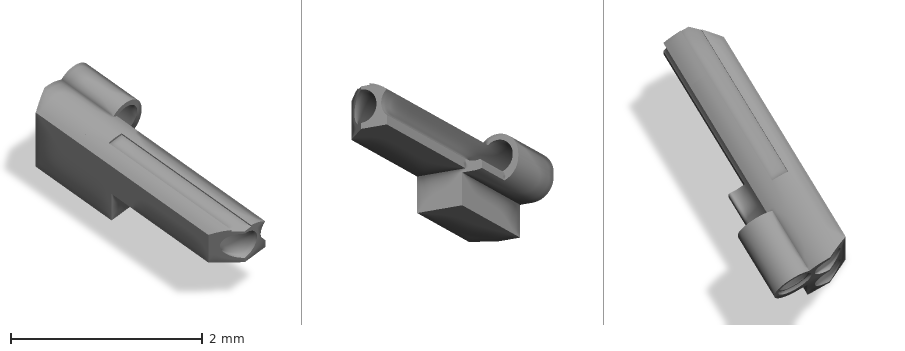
import cadquery as cq
import math

LENGTH = 2.93
HOUSING_END = 0.762
BLOCK_END = 1.245
TIP_START = 2.38

HALF_WIDTH = 0.27
TOP = 0.25
BOTTOM = -0.65
CROWN_RADIUS = 0.495
CROWN_CENTER_Z = TOP - CROWN_RADIUS
BEAM_BOTTOM = -0.25

BORE_RADIUS = 0.365 / 2
BORE_PITCH = 0.422
LUMEN_DIAMETER = 0.1

RING_Y = BORE_PITCH
RING_RADIUS = 0.25
RING_BOTTOM = -0.29
SLEEVE_RADIUS = 0.4 / 2
SLEEVE_RECESS = 0.038

LIP_Y = 0.505
LIP_FILLET = 0.025

REAR_CHAMFER = 0.135
TIP_CHAMFER = HALF_WIDTH

SLOT_START = 1.035
SLOT_WIDTH = 0.193
SLOT_FLOOR = 0.22

LOWER_LUMEN_END = 1.113


def crown_z(y):
    """Height of the rounded top at a given Y."""
    return CROWN_CENTER_Z + math.sqrt(CROWN_RADIUS**2 - y**2)


def trough_crest():
    """Point (Y, Z) where the crown arc runs into the trough, nearest the top."""
    distance = math.hypot(RING_Y, CROWN_CENTER_Z)
    along = (CROWN_RADIUS**2 - BORE_RADIUS**2 + distance**2) / (2 * distance)
    aside = math.sqrt(CROWN_RADIUS**2 - along**2)
    dir_y = RING_Y / distance
    dir_z = -CROWN_CENTER_Z / distance
    return along * dir_y - aside * dir_z, CROWN_CENTER_Z + along * dir_z + aside * dir_y


def section_at(x):
    """Sketch plane across the probe: local axes are Y and Z, extrusion runs toward +X."""
    return cq.Workplane("YZ", origin=(x, 0, 0))


def rod(radius, y, z, start, end):
    """Round bar along X."""
    return section_at(start).center(y, z).circle(radius).extrude(end - start)


def cut_corner(x_at_axis, x_at_side):
    """Full-height wedge that bevels an end on the -Y side."""
    return (
        cq.Workplane("XY", origin=(0, 0, BOTTOM))
        .polyline([(x_at_axis, 0), (x_at_side, -HALF_WIDTH), (x_at_axis, -HALF_WIDTH)])
        .close()
        .extrude(TOP - BOTTOM)
    )


def make_housing():
    """Rear block with two bores and a side ring."""
    block = (
        section_at(0)
        .moveTo(-HALF_WIDTH, BOTTOM)
        .lineTo(-HALF_WIDTH, crown_z(HALF_WIDTH))
        .threePointArc((0, TOP), (HALF_WIDTH, crown_z(HALF_WIDTH)))
        .lineTo(HALF_WIDTH, BOTTOM)
        .close()
        .extrude(HOUSING_END)
    )
    upper_ring = rod(RING_RADIUS, RING_Y, 0, 0, HOUSING_END)
    lower_ring = rod(RING_RADIUS, RING_Y, RING_BOTTOM + RING_RADIUS, 0, HOUSING_END)
    waist = (
        section_at(0)
        .moveTo(0, 0)
        .lineTo(RING_Y + RING_RADIUS, 0)
        .lineTo(RING_Y + RING_RADIUS, RING_BOTTOM + RING_RADIUS)
        .lineTo(RING_Y, RING_BOTTOM + RING_RADIUS)
        .lineTo(RING_Y, RING_BOTTOM)
        .lineTo(0, RING_BOTTOM)
        .close()
        .extrude(HOUSING_END)
    )
    housing = block.union(upper_ring).union(lower_ring).union(waist)
    for z in (0, -BORE_PITCH):
        housing = housing.cut(rod(BORE_RADIUS, 0, z, 0, HOUSING_END))
    housing = housing.cut(rod(SLEEVE_RADIUS, RING_Y, 0, 0, HOUSING_END))
    return housing.cut(cut_corner(0, REAR_CHAMFER))


def make_sleeve():
    """Thin tube lining the ring, set back from the rear face."""
    tube = rod(SLEEVE_RADIUS, RING_Y, 0, SLEEVE_RECESS, HOUSING_END)
    return tube.cut(rod(BORE_RADIUS, RING_Y, 0, SLEEVE_RECESS, HOUSING_END))


def make_beam(start, end):
    """Length of the slender beam: crowned top, flat bottom, trough along its +Y side."""
    crest_y, crest_z = trough_crest()
    return (
        section_at(start)
        .moveTo(-HALF_WIDTH, BEAM_BOTTOM)
        .lineTo(-HALF_WIDTH, crown_z(HALF_WIDTH))
        .threePointArc((0, TOP), (crest_y, crest_z))
        .threePointArc((RING_Y - BORE_RADIUS, 0), (crest_y, -crest_z))
        .lineTo(crest_y, BEAM_BOTTOM)
        .close()
        .extrude(end - start)
    )


def make_block():
    """Deep part of the core next to the housing, with the trough lip on its +Y side."""
    crest_y, crest_z = trough_crest()
    lip_run = LIP_Y - RING_Y
    lip_top = -math.sqrt(BORE_RADIUS**2 - lip_run**2)
    lower_center_z = RING_BOTTOM + RING_RADIUS
    lip_bottom = lower_center_z - math.sqrt(RING_RADIUS**2 - lip_run**2)
    half_run = lip_run / 2
    underside_mid = (RING_Y + half_run, lower_center_z - math.sqrt(RING_RADIUS**2 - half_run**2))
    block = (
        section_at(HOUSING_END)
        .moveTo(-HALF_WIDTH, BOTTOM)
        .lineTo(-HALF_WIDTH, crown_z(HALF_WIDTH))
        .threePointArc((0, TOP), (crest_y, crest_z))
        .threePointArc((RING_Y - BORE_RADIUS, 0), (LIP_Y, lip_top))
        .lineTo(LIP_Y, lip_bottom)
        .threePointArc(underside_mid, (RING_Y, RING_BOTTOM))
        .lineTo(HALF_WIDTH, RING_BOTTOM)
        .lineTo(HALF_WIDTH, BOTTOM)
        .close()
        .extrude(BLOCK_END - HOUSING_END)
    )
    lip_middle = ((HOUSING_END + BLOCK_END) / 2, LIP_Y, lip_top)
    return block.edges(cq.NearestToPointSelector(lip_middle)).fillet(LIP_FILLET)


def make_slot():
    """Shallow flat-bottomed slot along the crown, open at the tip."""
    return cq.Workplane("XY", origin=(SLOT_START, 0, SLOT_FLOOR)).box(
        LENGTH - SLOT_START, SLOT_WIDTH, TOP - SLOT_FLOOR, centered=(False, True, False)
    )


def make_upper_lumen():
    """Blind lumen on the axis, ending in a V with an upright root line."""
    radius = LUMEN_DIAMETER / 2
    pointed = (
        cq.Workplane("XY", origin=(0, 0, -radius))
        .polyline([(HOUSING_END, -radius), (BLOCK_END - radius, -radius), (BLOCK_END, 0),
                   (BLOCK_END - radius, radius), (HOUSING_END, radius)])
        .close()
        .extrude(LUMEN_DIAMETER)
    )
    return rod(radius, 0, 0, HOUSING_END, BLOCK_END).intersect(pointed)


def make_lower_lumen():
    """Blind lumen below the axis, ending on a flat that slopes up at 45 degrees."""
    radius = LUMEN_DIAMETER / 2
    low = -BORE_PITCH - radius
    high = -BORE_PITCH + radius
    sloped = (
        cq.Workplane("XZ", origin=(0, radius, 0))
        .polyline([(HOUSING_END, low), (LOWER_LUMEN_END - LUMEN_DIAMETER, low),
                   (LOWER_LUMEN_END, high), (HOUSING_END, high)])
        .close()
        .extrude(LUMEN_DIAMETER)
    )
    return rod(radius, 0, -BORE_PITCH, HOUSING_END, LOWER_LUMEN_END).intersect(sloped)


def make_core():
    """Middle body: deep block next to the housing, slender beam beyond it."""
    core = make_block().union(make_beam(BLOCK_END, TIP_START))
    return core.cut(make_slot()).cut(make_upper_lumen()).cut(make_lower_lumen())


def make_tip():
    """Bored end piece with a 45 degree bevel."""
    tip = make_beam(TIP_START, LENGTH)
    tip = tip.cut(rod(BORE_RADIUS, 0, 0, TIP_START, LENGTH))
    return tip.cut(cut_corner(LENGTH, LENGTH - TIP_CHAMFER)).cut(make_slot())


housing = make_housing()
sleeve = make_sleeve()
core = make_core()
tip = make_tip()

result = cq.Compound.makeCompound([housing.val(), sleeve.val(), core.val(), tip.val()])